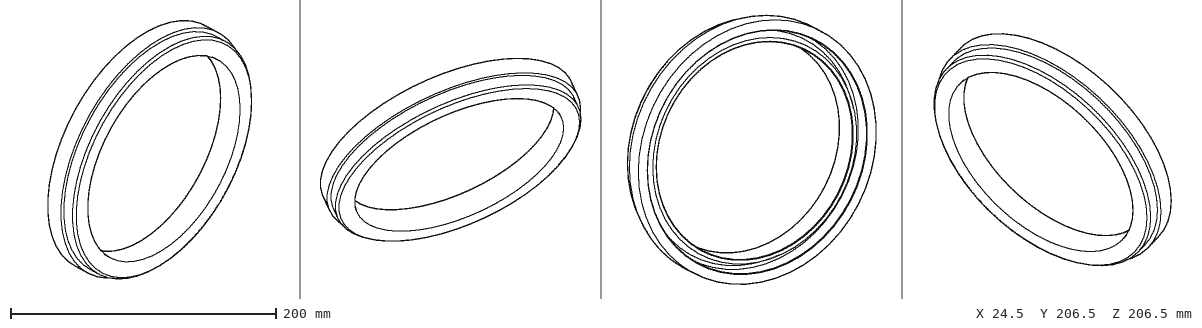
import cadquery as cq

total_width = 24.47
flange_width = 13.6
flange_radius = 206.5 / 2
spigot_radius = 200 / 2
spigot_chamfer = 2.0

groove_radius = 190 / 2
groove_depth = 13.0
groove_floor_inner_radius = 92.0
bore_radius = 170 / 2
seat_outer_radius = 88.4
seat_depth = 4.0
edge_break = 0.5


def ring_section():
    """Half section of the ring, with x along the axis and y as the radius."""
    return (
        cq.Workplane("XY")
        .moveTo(0, groove_radius + edge_break)
        .lineTo(0, flange_radius)
        .lineTo(flange_width, flange_radius)
        .lineTo(flange_width, spigot_radius)
        .lineTo(total_width - spigot_chamfer, spigot_radius)
        .lineTo(total_width, spigot_radius - spigot_chamfer)
        .lineTo(total_width, bore_radius)
        .lineTo(seat_depth + edge_break, bore_radius)
        .lineTo(seat_depth, bore_radius + edge_break)
        .lineTo(seat_depth, seat_outer_radius)
        .lineTo(groove_depth, groove_floor_inner_radius)
        .lineTo(groove_depth, groove_radius)
        .lineTo(edge_break, groove_radius)
        .close()
    )


result = ring_section().revolve(360, (0, 0, 0), (1, 0, 0))